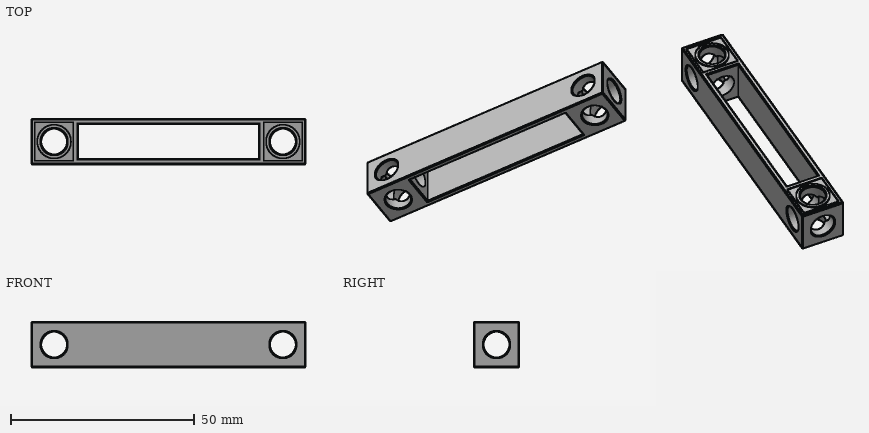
import cadquery as cq

length = 75.0
side = 12.5
edge_chamfer = 0.3

hole_diameter = 7.0
hole_spacing = length - side
hole_centres = (-hole_spacing / 2, hole_spacing / 2)

side_wall = 1.6
window_length = hole_spacing - side - 2 * edge_chamfer
window_width = side - 2 * side_wall

recess_side = 10.5
recess_depth = 0.3
ring_diameter = 9.2


def beam():
    """Solid bar with every outer edge chamfered."""
    return cq.Workplane("XY").box(length, side, side).edges().chamfer(edge_chamfer)


def window_cutter():
    """Straight window with its top and bottom rims flared by the chamfer."""
    cutter = cq.Workplane("XY").box(window_length, window_width, side)
    for direction in (1, -1):
        flare = (
            cq.Workplane("XY", origin=(0, 0, direction * side / 2))
            .rect(window_length + 2 * edge_chamfer, window_width + 2 * edge_chamfer)
            .workplane(offset=-direction * edge_chamfer)
            .rect(window_length, window_width)
            .loft()
        )
        cutter = cutter.union(flare)
    return cutter


def hole_cutter(depth):
    """Round cutter along Z, centred on the origin, with a flared mouth at each end."""
    radius = hole_diameter / 2
    mouth_radius = radius + edge_chamfer
    half_depth = depth / 2
    straight = half_depth - edge_chamfer
    return (
        cq.Workplane("XZ")
        .polyline([
            (0, -half_depth),
            (mouth_radius, -half_depth),
            (radius, -straight),
            (radius, straight),
            (mouth_radius, half_depth),
            (0, half_depth),
        ])
        .close()
        .revolve(360, (0, 0), (0, 1))
    )


def crossing_holes(centre_x):
    """Holes through one end cube along Z and Y."""
    vertical = hole_cutter(side)
    crosswise = hole_cutter(side).rotate((0, 0, 0), (1, 0, 0), 90)
    return vertical.union(crosswise).translate((centre_x, 0, 0))


def lengthwise_hole():
    """Hole along X through both end cubes."""
    return hole_cutter(length).rotate((0, 0, 0), (0, 1, 0), 90)


def recess_cutter(centre_x):
    """Shallow square recess in the top face that leaves the ring standing."""
    return (
        cq.Workplane("XY", origin=(centre_x, 0, side / 2))
        .rect(recess_side, recess_side)
        .circle(ring_diameter / 2)
        .extrude(-recess_depth)
    )


result = beam().cut(window_cutter()).cut(lengthwise_hole())
for hole_x in hole_centres:
    result = result.cut(crossing_holes(hole_x)).cut(recess_cutter(hole_x))